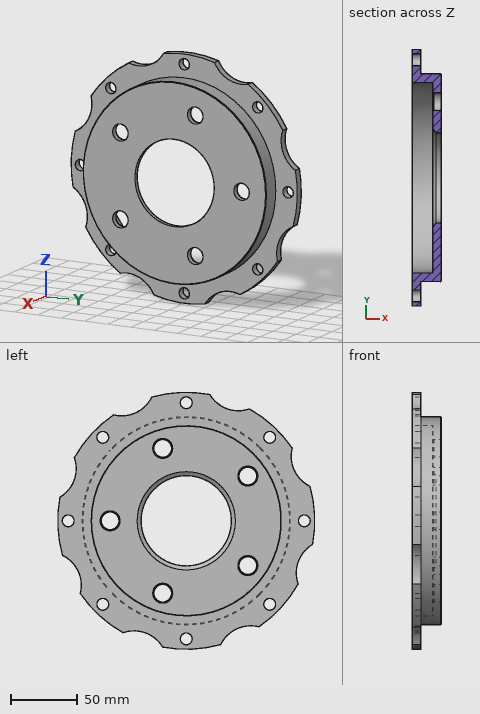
import cadquery as cq
import math

flange_diameter = 194.0
flange_thickness = 6.5
total_length = 22.0
hub_diameter = 157.1
hub_edge_chamfer = 0.5

recess_diameter = 143.5
recess_depth = 15.5
recess_floor_chamfer = 0.4

bore_diameter = 67.9
bore_mouth_diameter = 74.0
bore_chamfer_depth = 2.5

rim_hole_count = 8
rim_hole_diameter = 8.7
rim_hole_circle_radius = 89.0

floor_hole_count = 5
floor_hole_diameter = 13.2
floor_hole_chamfer = 1.0
floor_hole_circle_radius = 57.5

scallop_count = 8
scallop_radius = 25.0
scallop_centre_radius = 115.0
scallop_first_angle = 20.0


def polar_points(count, radius, first_angle):
    """Evenly spaced (Y, Z) points, with angles in degrees from +Y towards +Z."""
    points = []
    for index in range(count):
        angle = math.radians(first_angle + index * 360.0 / count)
        points.append((radius * math.cos(angle), radius * math.sin(angle)))
    return points


def cylinders(points, diameter, start, length):
    """Cylinders along +X at the given (Y, Z) points."""
    plane = cq.Workplane("YZ", origin=(start, 0, 0))
    return plane.pushPoints(points).circle(diameter / 2).extrude(length)


def countersink(point, mouth_diameter, end_diameter, depth):
    """Cone that narrows along +X from the recess floor."""
    y, z = point
    cone = cq.Solid.makeCone(
        mouth_diameter / 2,
        end_diameter / 2,
        depth,
        pnt=cq.Vector(recess_depth, y, z),
        dir=cq.Vector(1, 0, 0),
    )
    return cq.Workplane(cone)


centre = (0, 0)

flange = cylinders([centre], flange_diameter, 0, flange_thickness)
scallop_points = polar_points(scallop_count, scallop_centre_radius, scallop_first_angle)
flange = flange.cut(cylinders(scallop_points, 2 * scallop_radius, 0, flange_thickness))

hub = cylinders([centre], hub_diameter, 0, total_length)
hub = hub.faces(">X").edges().chamfer(hub_edge_chamfer)
recess = cylinders([centre], recess_diameter, 0, recess_depth)
recess = recess.faces(">X").edges().chamfer(recess_floor_chamfer)
body = flange.union(hub).cut(recess)

body = body.cut(cylinders([centre], bore_diameter, 0, total_length))
body = body.cut(countersink(centre, bore_mouth_diameter, bore_diameter, bore_chamfer_depth))

rim_points = polar_points(rim_hole_count, rim_hole_circle_radius, 0)
body = body.cut(cylinders(rim_points, rim_hole_diameter, 0, flange_thickness))

floor_points = polar_points(floor_hole_count, floor_hole_circle_radius, 0)
body = body.cut(cylinders(floor_points, floor_hole_diameter, 0, total_length))
floor_mouth_diameter = floor_hole_diameter + 2 * floor_hole_chamfer
for floor_point in floor_points:
    body = body.cut(
        countersink(floor_point, floor_mouth_diameter, floor_hole_diameter, floor_hole_chamfer)
    )

result = body